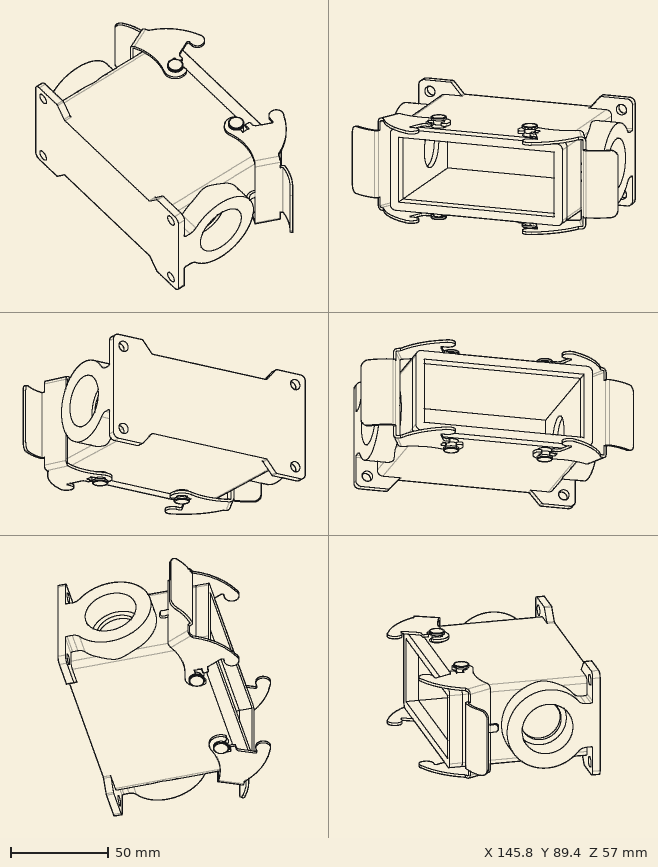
import cadquery as cq
import math


BODY_LENGTH = 94.4
BODY_WIDTH = 43.5
BODY_CORNER = 3.0
BODY_TOP = 70.3
MOUTH_TOP = 77.0
WALL = 4.5

PLATE_LENGTH = 117.3
PLATE_WIDTH = 57.0
PLATE_THICKNESS = 4.0
PLATE_CORNER = 3.0
NOTCH_HALF_TOP = 40.9
NOTCH_HALF_BOTTOM = 35.0
NOTCH_ROUND = 1.0
MOUNT_HOLE = 5.5
MOUNT_PITCH_X = 105.0
MOUNT_PITCH_Z = 45.0

ENTRY_HEIGHT = 28.0
ENTRY_RADIUS = 21.5
ENTRY_BORE = 27.0
ENTRY_BORE_DEPTH = 13.5
CABLE_HOLE = 21.5
NECK_WIDTH = 24.0
NECK_FILLET = 5.0
NECK_FOOT_FILLET = 0.9

PIN_X = 25.0
PIN_Y = 65.1
PIN_SHAFT = 5.17
PIN_HEAD = 8.0
PIN_HEAD_THICKNESS = 1.3
PIN_HEAD_CHAMFER = 0.4
PIN_SPAN = 54.0
PIN_CONE_BASE = 7.6

LEVER_WIDTH = 49.0
SHEET = 1.4
FOLD_RADIUS = 2.25
WEB_TOP = (-56.9, 68.6)
LEG_ARC_START = (-53.4, 70.2)
LEG_ARC_MIDDLE = (-45.4, 81.6)
HOOK_CENTER = (-32.5, 85.56)
HOOK_RADIUS = 3.85
HOOK_JOIN_ANGLE = 122.0
HOOK_THROAT = (-35.4, 81.7)
THROAT_ROUND = 0.8
SHOULDER_Y = 72.0
SHOULDER_INNER_ROUND = 2.2
SHOULDER_OUTER_ROUND = 0.7
MOUTH_X = -27.4
SLOT_X = -30.5
SLOT_TOP = 69.05
LOBE_RADIUS = 6.15
PIVOT_RADIUS = 2.85
LOBE_TIP_ANGLE = 30.0
BELLY_RADIUS = 28.0
BELLY_OFFSET = 11.3
BELLY_END_X = -51.3

GRIP_WIDTH = 35.7
GRIP_RISE = 1.2
GRIP_BEND = 1.65
GRIP_RADIUS = 27.0
GRIP_START_SLOPE = 8.0
GRIP_END_X = -72.91
GRIP_CORNER = 4.0

TAB_WIDTH = 4.1
TAB_RADIUS = 5.6
TAB_SWEEP = 56.0
TAB_CORNER = 1.3


def polar(center, radius, angle):
    """Point at an angle in degrees on a circle."""
    turn = math.radians(angle)
    return (center[0] + radius * math.cos(turn), center[1] + radius * math.sin(turn))


def shift(point, direction, distance):
    return (point[0] + direction[0] * distance, point[1] + direction[1] * distance)


def edge_near(x, y, z=0.0):
    return cq.selectors.NearestToPointSelector((x, y, z))


def box(length, height, width, bottom=0.0):
    """Box centred on X and Z that rises from the given Y."""
    return cq.Workplane("XY").box(length, height, width).translate((0, bottom + height / 2, 0))


def mouth_block(bottom, top):
    """Full body cross-section with rounded corners between two heights."""
    return box(BODY_LENGTH, top - bottom, BODY_WIDTH, bottom).edges("|Y").fillet(BODY_CORNER)


def cavity():
    height = MOUTH_TOP - PLATE_THICKNESS
    return box(BODY_LENGTH - 2 * WALL, height, BODY_WIDTH - 2 * WALL, PLATE_THICKNESS)


def mounting_plate():
    plate = box(PLATE_LENGTH, PLATE_THICKNESS, PLATE_WIDTH).edges("|Y").fillet(PLATE_CORNER)
    notch_edge = BODY_WIDTH / 2
    outer_edge = PLATE_WIDTH / 2
    for side in (1, -1):
        notch = (
            cq.Workplane("XZ")
            .polyline([
                (-NOTCH_HALF_TOP, side * outer_edge),
                (-NOTCH_HALF_BOTTOM, side * notch_edge),
                (NOTCH_HALF_BOTTOM, side * notch_edge),
                (NOTCH_HALF_TOP, side * outer_edge),
            ])
            .close()
            .extrude(-PLATE_THICKNESS)
        )
        plate = plate.cut(notch)
    for x in (-NOTCH_HALF_TOP, -NOTCH_HALF_BOTTOM, NOTCH_HALF_BOTTOM, NOTCH_HALF_TOP):
        edge_z = outer_edge if abs(x) == NOTCH_HALF_TOP else notch_edge
        for side in (1, -1):
            corner = edge_near(x, PLATE_THICKNESS / 2, side * edge_z)
            plate = plate.edges("|Y").edges(corner).fillet(NOTCH_ROUND)
    holes = (
        cq.Workplane("XZ")
        .rect(MOUNT_PITCH_X, MOUNT_PITCH_Z, forConstruction=True)
        .vertices()
        .circle(MOUNT_HOLE / 2)
        .extrude(-PLATE_THICKNESS)
    )
    return plate.cut(holes)


def entry_cylinder(radius):
    """Cylinder along X at the cable entry height, as long as the plate."""
    circle = cq.Workplane("YZ").center(ENTRY_HEIGHT, 0).circle(radius)
    return circle.extrude(PLATE_LENGTH / 2, both=True)


def cable_entries():
    """Round bosses that pass through both ends, each standing on a neck from the plate."""
    barrel = entry_cylinder(ENTRY_RADIUS)
    neck = box(PLATE_LENGTH, ENTRY_HEIGHT, NECK_WIDTH)
    entries = barrel.union(neck)
    half_neck = NECK_WIDTH / 2
    join_height = ENTRY_HEIGHT - math.sqrt(ENTRY_RADIUS**2 - half_neck**2)
    for z in (half_neck, -half_neck):
        entries = entries.edges("|X").edges(edge_near(0, join_height, z)).fillet(NECK_FILLET)
    return entries


def entry_bores():
    hole = entry_cylinder(CABLE_HOLE / 2)
    for side in (1, -1):
        bore = (
            cq.Workplane("YZ", origin=(side * PLATE_LENGTH / 2, 0, 0))
            .center(ENTRY_HEIGHT, 0)
            .circle(ENTRY_BORE / 2)
            .extrude(-side * ENTRY_BORE_DEPTH)
        )
        hole = hole.union(bore)
    return hole


def pivot_pin(x):
    """Headed pin on the +Z wall with a conical foot below the lever."""
    root = BODY_WIDTH / 2 - WALL
    face = BODY_WIDTH / 2
    cone_top = LEVER_WIDTH / 2 - SHEET
    tip = PIN_SPAN / 2
    profile = [
        (0, root),
        (PIN_CONE_BASE / 2, root),
        (PIN_CONE_BASE / 2, face),
        (PIN_SHAFT / 2, cone_top),
        (PIN_SHAFT / 2, tip - PIN_HEAD_THICKNESS),
        (PIN_HEAD / 2, tip - PIN_HEAD_THICKNESS),
        (PIN_HEAD / 2, tip - PIN_HEAD_CHAMFER),
        (PIN_HEAD / 2 - PIN_HEAD_CHAMFER, tip),
        (0, tip),
    ]
    pin = cq.Workplane("XZ").polyline(profile).close().revolve(360, (0, 0, 0), (0, 1, 0))
    return pin.translate((x, PIN_Y, 0))


def round_neck_feet(housing):
    """Small fillets where the sides of the two necks meet the plate."""
    foot_x = (BODY_LENGTH + PLATE_LENGTH) / 4
    foot_z = NECK_WIDTH / 2
    for x in (foot_x, -foot_x):
        for z in (foot_z, -foot_z):
            foot = edge_near(x, PLATE_THICKNESS, z)
            housing = housing.edges("|X").edges(foot).fillet(NECK_FOOT_FILLET)
    return housing


def make_housing():
    housing = mouth_block(0, BODY_TOP).union(mounting_plate()).union(cable_entries())
    housing = round_neck_feet(housing)
    housing = housing.cut(cavity()).cut(entry_bores())
    for x in (PIN_X, -PIN_X):
        pin = pivot_pin(x)
        housing = housing.union(pin).union(pin.mirror("XY"))
    return housing


def make_mouth_frame():
    return mouth_block(BODY_TOP, MOUTH_TOP).cut(cavity())


PIN = (-PIN_X, PIN_Y)
LOBE_TIP_RADIUS = (LOBE_RADIUS - PIVOT_RADIUS) / 2

BELLY_CENTER = (
    PIN[0] - BELLY_OFFSET,
    PIN[1] - math.sqrt((BELLY_RADIUS + LOBE_RADIUS) ** 2 - BELLY_OFFSET**2),
)
BELLY_JOIN_ANGLE = math.degrees(math.atan2(PIN[1] - BELLY_CENTER[1], BELLY_OFFSET))
BELLY_END_ANGLE = math.degrees(math.acos((BELLY_END_X - BELLY_CENTER[0]) / BELLY_RADIUS))
WEB_BOTTOM = polar(BELLY_CENTER, BELLY_RADIUS, BELLY_END_ANGLE)

TILT = math.atan2(WEB_BOTTOM[0] - WEB_TOP[0], WEB_TOP[1] - WEB_BOTTOM[1])
WEB_TILT = math.degrees(TILT)
WEB_UP = (-math.sin(TILT), math.cos(TILT))
WEB_IN = (math.cos(TILT), math.sin(TILT))

SHOULDER = (HOOK_THROAT[0] + (HOOK_THROAT[1] - SHOULDER_Y) * math.tan(TILT), SHOULDER_Y)


def leg_outline():
    """Lever seen along Z: web edge, back arc, hook, shoulder, pivot mouth, lobe and belly."""
    lobe_tip = polar(PIN, LOBE_RADIUS - LOBE_TIP_RADIUS, LOBE_TIP_ANGLE)
    belly_join = polar(BELLY_CENTER, BELLY_RADIUS, BELLY_JOIN_ANGLE)
    lobe_start = BELLY_JOIN_ANGLE - 180
    slot_bottom_end = polar(PIN, PIVOT_RADIUS, 180)
    pivot_arc_middle = polar(PIN, PIVOT_RADIUS, (LOBE_TIP_ANGLE - 180) / 2)
    return (
        cq.Workplane("XY")
        .moveTo(*WEB_TOP)
        .lineTo(*LEG_ARC_START)
        .threePointArc(LEG_ARC_MIDDLE, polar(HOOK_CENTER, HOOK_RADIUS, HOOK_JOIN_ANGLE))
        .threePointArc(polar(HOOK_CENTER, HOOK_RADIUS, 0), polar(HOOK_CENTER, HOOK_RADIUS, -90))
        .lineTo(*HOOK_THROAT)
        .lineTo(*SHOULDER)
        .lineTo(MOUTH_X, SHOULDER_Y)
        .lineTo(MOUTH_X, SLOT_TOP)
        .lineTo(SLOT_X, SLOT_TOP)
        .lineTo(SLOT_X, PIN[1])
        .lineTo(*slot_bottom_end)
        .threePointArc(pivot_arc_middle, polar(PIN, PIVOT_RADIUS, LOBE_TIP_ANGLE))
        .threePointArc(
            polar(lobe_tip, LOBE_TIP_RADIUS, LOBE_TIP_ANGLE + 90), polar(PIN, LOBE_RADIUS, LOBE_TIP_ANGLE)
        )
        .threePointArc(polar(PIN, LOBE_RADIUS, (lobe_start + LOBE_TIP_ANGLE) / 2), belly_join)
        .threePointArc(polar(BELLY_CENTER, BELLY_RADIUS, 90), WEB_BOTTOM)
        .close()
    )


def fold_block(start_x, width, corner):
    """Block larger than the lever with rounded edges along its web side."""
    reach = BODY_LENGTH
    block = cq.Workplane("XY").box(reach, 2 * reach, width).translate((start_x + reach / 2, 0, 0))
    return block.faces("<X").edges("|Y").fillet(corner)


def folded_sheet():
    """Web and two legs as one bent sheet."""
    blank = leg_outline().extrude(LEVER_WIDTH / 2, both=True)
    blank = blank.edges("|Z").edges(edge_near(*HOOK_THROAT)).fillet(THROAT_ROUND)
    blank = blank.edges("|Z").edges(edge_near(*SHOULDER)).fillet(SHOULDER_INNER_ROUND)
    blank = blank.edges("|Z").edges(edge_near(MOUTH_X, SHOULDER_Y)).fillet(SHOULDER_OUTER_ROUND)
    outside = fold_block(0, LEVER_WIDTH, FOLD_RADIUS)
    inside = fold_block(SHEET, LEVER_WIDTH - 2 * SHEET, FOLD_RADIUS - SHEET)
    channel = outside.cut(inside).rotate((0, 0, 0), (0, 0, 1), WEB_TILT)
    return blank.intersect(channel.translate((*WEB_BOTTOM, 0)))


def flat_strip(bottom, top, width):
    """Sheet in the plane of the web between two points on its outer face."""
    return (
        cq.Workplane("XY")
        .polyline([bottom, top, shift(top, WEB_IN, SHEET), shift(bottom, WEB_IN, SHEET)])
        .close()
        .extrude(width / 2, both=True)
    )


def curved_strip(center, outer_radius, start_angle, end_angle, width):
    """Sheet bent round an axis along Z, centred on Z = 0."""
    inner_radius = outer_radius - SHEET
    middle = (start_angle + end_angle) / 2
    return (
        cq.Workplane("XY")
        .moveTo(*polar(center, outer_radius, start_angle))
        .threePointArc(polar(center, outer_radius, middle), polar(center, outer_radius, end_angle))
        .lineTo(*polar(center, inner_radius, end_angle))
        .threePointArc(polar(center, inner_radius, middle), polar(center, inner_radius, start_angle))
        .close()
        .extrude(width / 2, both=True)
    )


def finger_grip():
    """Short rise above the web, a tight outward bend and a long curved grip with rounded corners."""
    rise_top = shift(WEB_TOP, WEB_UP, GRIP_RISE)
    rise = flat_strip(shift(WEB_TOP, WEB_UP, -SHEET), rise_top, GRIP_WIDTH)
    bend_center = shift(rise_top, WEB_IN, SHEET - GRIP_BEND)
    grip_start = 90 + GRIP_START_SLOPE
    bend = curved_strip(bend_center, GRIP_BEND, WEB_TILT, grip_start, GRIP_WIDTH)
    grip_center = polar(bend_center, GRIP_BEND - GRIP_RADIUS, grip_start)
    grip_end = math.degrees(math.acos((GRIP_END_X - grip_center[0]) / GRIP_RADIUS))
    grip = curved_strip(grip_center, GRIP_RADIUS, grip_start, grip_end, GRIP_WIDTH)
    grip = grip.faces("<X").edges("not |Z").fillet(GRIP_CORNER)
    return rise.union(bend).union(grip)


def latch_tab():
    """Narrow curved tongue below the web."""
    root = flat_strip(WEB_BOTTOM, shift(WEB_BOTTOM, WEB_UP, SHEET), TAB_WIDTH)
    center = shift(WEB_BOTTOM, WEB_IN, SHEET - TAB_RADIUS)
    tab = curved_strip(center, TAB_RADIUS, WEB_TILT, WEB_TILT - TAB_SWEEP, TAB_WIDTH)
    tab = tab.faces("<Y").edges("not |Z").fillet(TAB_CORNER)
    return root.union(tab)


def make_lever():
    return folded_sheet().union(finger_grip()).union(latch_tab())


housing = make_housing()
mouth_frame = make_mouth_frame()
left_lever = make_lever()
levers = [left_lever, left_lever.mirror("YZ")]

result = cq.Compound.makeCompound(
    [housing.val(), mouth_frame.val()] + [lever.val() for lever in levers]
)